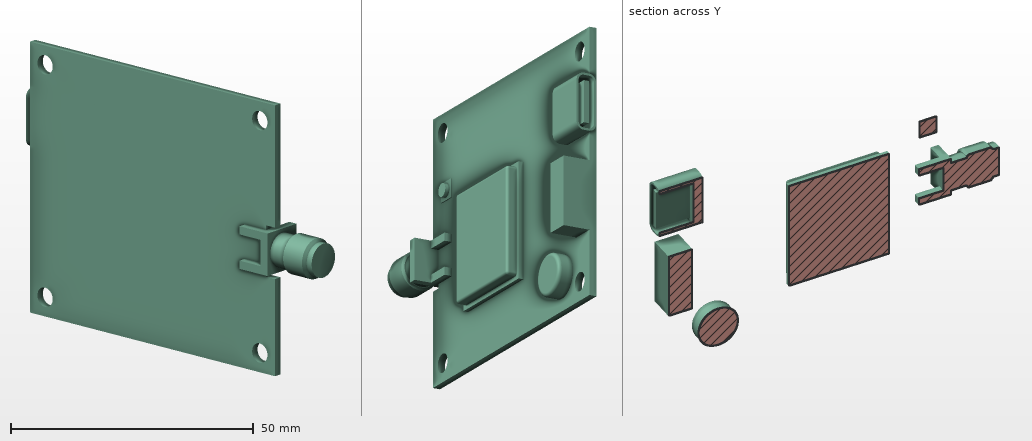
import cadquery as cq

BOARD_LENGTH = 66.9
BOARD_HEIGHT = 58.5
BOARD_THICKNESS = 1.7
HOLE_DIAMETER = 4.15
HOLE_INSET = 4.15

COAX_Z = 26.55
NOTCH_HEIGHT = 11.1
NOTCH_DEPTH = 2.4
FLANGE_WIDTH = 9.2
FLANGE_THICKNESS = 1.9
FLANGE_DEPTH = 9.0
LEG_LENGTH = 5.75
LEG_WIDTH = 1.75
LEG_DEPTH = 1.75
BARREL_RADIUS = 7.35 / 2
NUT_RADIUS = 8.7 / 2
NUT_START = 70.05
NUT_END = 76.4
NUT_REAR_CHAMFER = 0.5
NUT_FRONT_CHAMFER = NUT_RADIUS - BARREL_RADIUS
COAX_END = 77.7

USB_OVERHANG = 2.2
USB_LENGTH = 10.2
USB_HEIGHT = 12.5
USB_DEPTH = 4.55
USB_SINK = 0.3
USB_CORNER = 1.7
USB_WALL = 0.5
USB_Z = 41.2
USB_CAVITY_LENGTH = 8.0
TONGUE_HEIGHT = 9.2
TONGUE_THICKNESS = 1.2

BLOCK_LENGTH = 5.6
BLOCK_DEPTH = 6.1
BLOCK_HEIGHT = 15.2
BLOCK_BOTTOM = 14.2

MODULE_LEFT = 28.2
MODULE_LENGTH = 23.7
MODULE_BOTTOM = 12.0
MODULE_HEIGHT = 25.6
CARRIER_THICKNESS = 1.1
LID_INSET = 0.9
LID_TOP = 3.4
LID_ROUNDING = 0.6

CAN_X = 11.7
CAN_Z = 7.4
CAN_DIAMETER = 9.35
CAN_HEIGHT = LID_TOP
CAN_ROUNDING = 0.8

SOCKET_X = 60.9
SOCKET_Z = USB_Z
SOCKET_PAD_SIZE = 4.15
SOCKET_PAD_THICKNESS = 0.2
SOCKET_DIAMETER = 2.95
SOCKET_HEIGHT = 1.2

BACK = BOARD_THICKNESS


def box(x, y, z, length, depth, height):
    """Box with its lowest corner at (x, y, z)."""
    return cq.Workplane("XY").box(length, depth, height, centered=False).translate((x, y, z))


def y_disc(x, y, z, diameter, height):
    """Disc centred at (x, z) that rises toward +Y from y."""
    return cq.Workplane("XZ", origin=(x, y, z)).circle(diameter / 2).extrude(-height)


def make_board():
    board = box(0, 0, 0, BOARD_LENGTH, BOARD_THICKNESS, BOARD_HEIGHT)
    for x in (HOLE_INSET, BOARD_LENGTH - HOLE_INSET):
        for z in (HOLE_INSET, BOARD_HEIGHT - HOLE_INSET):
            board = board.cut(y_disc(x, 0, z, HOLE_DIAMETER, BOARD_THICKNESS))
    notch = box(
        BOARD_LENGTH - NOTCH_DEPTH, 0, COAX_Z - NOTCH_HEIGHT / 2,
        NOTCH_DEPTH, BOARD_THICKNESS, NOTCH_HEIGHT,
    )
    return board.cut(notch)


def make_coax():
    flange_left = BOARD_LENGTH - NOTCH_DEPTH
    flange_right = flange_left + FLANGE_THICKNESS
    flange_bottom = COAX_Z - FLANGE_WIDTH / 2
    coax = box(flange_left, -LEG_DEPTH, flange_bottom, FLANGE_THICKNESS, FLANGE_DEPTH, FLANGE_WIDTH)
    for y in (-LEG_DEPTH, BACK):
        for z in (flange_bottom, flange_bottom + FLANGE_WIDTH - LEG_WIDTH):
            coax = coax.union(box(flange_left - LEG_LENGTH, y, z, LEG_LENGTH, LEG_DEPTH, LEG_WIDTH))

    axis_y = FLANGE_DEPTH / 2 - LEG_DEPTH
    profile = [
        (flange_right, 0),
        (flange_right, BARREL_RADIUS),
        (NUT_START, BARREL_RADIUS),
        (NUT_START, NUT_RADIUS - NUT_REAR_CHAMFER),
        (NUT_START + NUT_REAR_CHAMFER, NUT_RADIUS),
        (NUT_END - NUT_FRONT_CHAMFER, NUT_RADIUS),
        (NUT_END, BARREL_RADIUS),
        (COAX_END, BARREL_RADIUS),
        (COAX_END, 0),
    ]
    barrel = (
        cq.Workplane("XY").polyline(profile).close()
        .revolve(360, (0, 0, 0), (1, 0, 0))
        .translate((0, axis_y, COAX_Z))
    )
    return coax.union(barrel)


def make_usb():
    def shell_block(inset, length):
        block = box(
            -USB_OVERHANG, BACK - USB_SINK + inset, USB_Z - USB_HEIGHT / 2 + inset,
            length, USB_DEPTH - 2 * inset, USB_HEIGHT - 2 * inset,
        )
        return block.edges("|X").fillet(USB_CORNER - inset)

    tongue = box(
        -USB_OVERHANG, BACK - USB_SINK + (USB_DEPTH - TONGUE_THICKNESS) / 2, USB_Z - TONGUE_HEIGHT / 2,
        USB_LENGTH, TONGUE_THICKNESS, TONGUE_HEIGHT,
    )
    return shell_block(0, USB_LENGTH).cut(shell_block(USB_WALL, USB_CAVITY_LENGTH)).union(tongue)


def make_module():
    def plate(inset, thickness):
        return box(
            MODULE_LEFT + inset, BACK, MODULE_BOTTOM + inset,
            MODULE_LENGTH - 2 * inset, thickness, MODULE_HEIGHT - 2 * inset,
        )

    lid = plate(LID_INSET, LID_TOP).edges("|Y or >Y").fillet(LID_ROUNDING)
    return plate(0, CARRIER_THICKNESS).union(lid)


def make_can():
    can = y_disc(CAN_X, BACK, CAN_Z, CAN_DIAMETER, CAN_HEIGHT)
    return can.faces(">Y").edges().fillet(CAN_ROUNDING)


def make_antenna_socket():
    pad = box(
        SOCKET_X - SOCKET_PAD_SIZE / 2, BACK, SOCKET_Z - SOCKET_PAD_SIZE / 2,
        SOCKET_PAD_SIZE, SOCKET_PAD_THICKNESS, SOCKET_PAD_SIZE,
    )
    return pad.union(y_disc(SOCKET_X, BACK, SOCKET_Z, SOCKET_DIAMETER, SOCKET_HEIGHT))


def make_block():
    return box(0, BACK, BLOCK_BOTTOM, BLOCK_LENGTH, BLOCK_DEPTH, BLOCK_HEIGHT)


result = (
    make_board()
    .union(make_coax())
    .union(make_usb())
    .union(make_block())
    .union(make_module())
    .union(make_can())
    .union(make_antenna_socket())
)